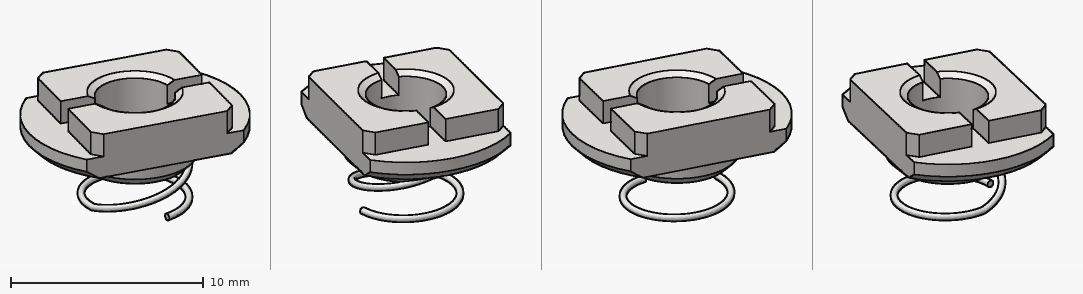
import cadquery as cq
import math

body_width = 8.0
flange_diameter = 11.96
flange_top = -1.29
flange_bottom = -2.5
chamfer = 0.5
slot_width = 0.98

boss_radius = 3.25
boss_bottom = -4.0
boss_root_fillet = 0.1

hole_radius = 2.1
lead_in_radius = 2.5
lead_in_depth = (lead_in_radius - hole_radius) * math.tan(math.radians(30))

wire_radius = 0.19
coil_radius = 2.81
spring_bottom = -6.34
flat_start_angle = 13.3
rise_start_angle = 286.0
rise_end_angle = 465.0
flat_pitch = 0.44
rise_pitch = 4.43


def make_flange():
    """Round flange, chamfered below and cut to the body width by two flats."""
    height = flange_top - flange_bottom
    disc = (
        cq.Workplane("XY", origin=(0, 0, flange_bottom))
        .circle(flange_diameter / 2)
        .extrude(height)
        .faces("<Z").edges().chamfer(chamfer)
    )
    flats = (
        cq.Workplane("XY", origin=(0, 0, flange_bottom))
        .rect(body_width, flange_diameter)
        .extrude(height)
    )
    return disc.intersect(flats)


def make_block():
    """Square raised block with chamfered corners and a slot along Y."""
    block = (
        cq.Workplane("XY", origin=(0, 0, flange_top))
        .rect(body_width, body_width)
        .extrude(-flange_top)
        .edges("|Z").chamfer(chamfer)
    )
    slot = (
        cq.Workplane("XY", origin=(0, 0, flange_top))
        .rect(slot_width, body_width)
        .extrude(-flange_top)
    )
    return block.cut(slot)


def make_boss():
    """Boss revolved about Z, with a small root fillet and a bottom chamfer."""
    fillet_bottom = flange_bottom - boss_root_fillet
    arc_offset = boss_root_fillet * (1 - math.sqrt(0.5))
    return (
        cq.Workplane("XZ")
        .moveTo(0, flange_bottom)
        .lineTo(boss_radius + boss_root_fillet, flange_bottom)
        .threePointArc(
            (boss_radius + arc_offset, flange_bottom - arc_offset),
            (boss_radius, fillet_bottom),
        )
        .lineTo(boss_radius, boss_bottom + chamfer)
        .lineTo(boss_radius - chamfer, boss_bottom)
        .lineTo(0, boss_bottom)
        .close()
        .revolve(360, (0, 0, 0), (0, 1, 0))
    )


def make_hole():
    """Cutter for the through hole and its conical lead-in."""
    return (
        cq.Workplane("XZ")
        .moveTo(0, 0)
        .lineTo(lead_in_radius, 0)
        .lineTo(hole_radius, -lead_in_depth)
        .lineTo(hole_radius, boss_bottom)
        .lineTo(0, boss_bottom)
        .close()
        .revolve(360, (0, 0, 0), (0, 1, 0))
    )


def make_coil(start_angle, end_angle, start_height, pitch):
    """Round wire following a helix about Z between two angles in degrees."""
    rise = pitch * (end_angle - start_angle) / 360
    path = cq.Wire.makeHelix(pitch, rise, coil_radius)
    section = cq.Plane(origin=(coil_radius, 0, 0), xDir=(1, 0, 0), normal=(0, 1, 0))
    return (
        cq.Workplane(section)
        .circle(wire_radius)
        .sweep(cq.Workplane(obj=path), isFrenet=True)
        .rotate((0, 0, 0), (0, 0, 1), start_angle)
        .translate((0, 0, start_height))
    )


def make_spring():
    """Flat coil and rising coil, which meet end to end on one radial plane."""
    flat_height = spring_bottom + wire_radius
    rise_height = flat_height + flat_pitch * (rise_start_angle - flat_start_angle) / 360
    flat_coil = make_coil(flat_start_angle, rise_start_angle, flat_height, flat_pitch)
    rising_coil = make_coil(rise_start_angle, rise_end_angle, rise_height, rise_pitch)
    return flat_coil.union(rising_coil)


body = make_flange().union(make_block()).union(make_boss()).cut(make_hole())
result = body.union(make_spring())